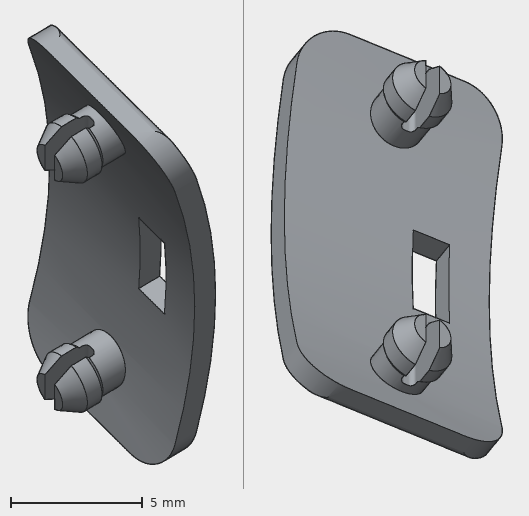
import cadquery as cq
import math

height = 19.0
width = 9.0
thickness = 1.0
inner_radius = 30.0
outer_radius = inner_radius + thickness
corner_radius = 2.0
end_round = 0.4
end_drop = 0.1

window_width = 1.6
window_height = 4.2
window_x = 1.92

depth = 4.48
pin_offset = 6.8
neck_diameter = 2.32
head_diameter = 2.6
tip_diameter = 1.6
cone_length = 0.8
head_length = 0.7
shoulder_length = 0.15
slot_width = 0.6
slot_depth = 2.0
slot_floor_round = 0.2

axis_y = -outer_radius
tip_y = -depth


def arc_y(radius, z):
    """Y of a plate surface of the given radius at height z."""
    return axis_y + math.sqrt(radius**2 - z**2)


def curved_plate():
    top = height / 2
    back_z = top - end_drop
    inner_end_y = arc_y(inner_radius, top)
    outer_end_y = arc_y(outer_radius, back_z)
    crown_y = (inner_end_y + outer_end_y) / 2
    crown_z = top - end_drop / 4
    profile = (
        cq.Workplane("YZ")
        .moveTo(inner_end_y, -top)
        .threePointArc((crown_y, -crown_z), (outer_end_y, -back_z))
        .threePointArc((0, 0), (outer_end_y, back_z))
        .threePointArc((crown_y, crown_z), (inner_end_y, top))
        .threePointArc((-thickness, 0), (inner_end_y, -top))
        .close()
    )
    plate = profile.extrude(width / 2, both=True)
    for end in (-back_z, back_z):
        edge_point = (0, outer_end_y, end)
        plate = plate.edges(cq.NearestToPointSelector(edge_point)).fillet(end_round)
    outline = (
        cq.Workplane("XZ")
        .rect(width, height)
        .extrude(depth, both=True)
        .edges("|Y")
        .fillet(corner_radius)
    )
    return plate.intersect(outline)


def window():
    return cq.Workplane("XY").box(window_width, 2 * depth, window_height).translate((window_x, 0, 0))


def pin_body(z):
    """Revolved pin whose root ends inside the plate."""
    cone_y = tip_y + cone_length
    head_y = cone_y + head_length
    neck_y = head_y + shoulder_length
    root_y = arc_y(inner_radius, pin_offset) + thickness / 2
    return (
        cq.Workplane("XY")
        .moveTo(0, tip_y)
        .lineTo(tip_diameter / 2, tip_y)
        .lineTo(head_diameter / 2, cone_y)
        .lineTo(head_diameter / 2, head_y)
        .lineTo(neck_diameter / 2, neck_y)
        .lineTo(neck_diameter / 2, root_y)
        .lineTo(0, root_y)
        .close()
        .revolve(360, (0, 0, 0), (0, 1, 0))
        .translate((0, 0, z))
    )


def pin_slot(z):
    """Vertical slot with a rounded floor, splitting the pin into two prongs."""
    return (
        cq.Workplane("XY")
        .box(slot_width, slot_depth, head_diameter)
        .edges("|Z and >Y")
        .fillet(slot_floor_round)
        .translate((0, tip_y + slot_depth / 2, z))
    )


result = curved_plate().cut(window())
for pin_z in (-pin_offset, pin_offset):
    split_pin = pin_body(pin_z).cut(pin_slot(pin_z))
    result = result.union(split_pin)